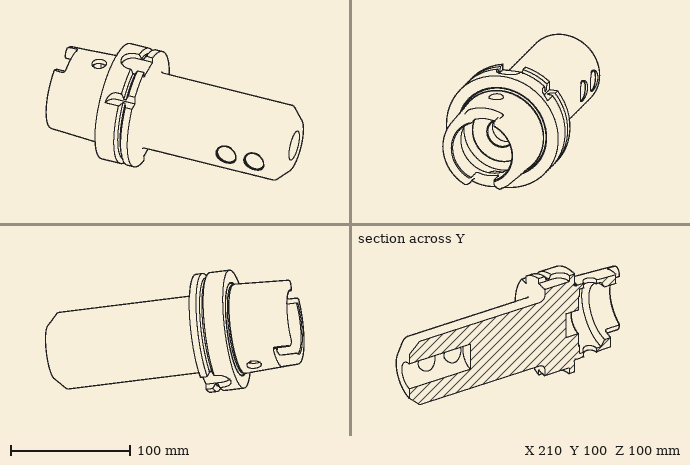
import cadquery as cq
import math

TOTAL_LENGTH = 210.0
FLANGE_START = 50.0
FLANGE_END = 79.0

TAPER_GAUGE_RADIUS = 37.5
TAPER_GAUGE_X = 40.0
TAPER_SLOPE = 1 / 20
TAPER_RIM_FILLET = 2.0

RELIEF_START = 47.5
RELIEF_RADIUS = 37.4
RELIEF_FLOOR_START = 48.0
RELIEF_FLOOR_END = 49.1
RELIEF_BOTTOM_X = 50.6
RELIEF_BOTTOM_RADIUS = 38.8
FACE_RELIEF_RADIUS = 39.7

MOUTH_RADIUS = 26.5
MOUTH_CHAMFER = 0.9
CLAMP_EDGE_X = 21.0
CAVITY_RADIUS = 32.5
CLAMP_SHOULDER_ANGLE = 60.0
CAVITY_FLOOR_X = 45.0
RECESS_RADIUS = 25.0
RECESS_DEPTH = 1.0
COOLANT_HOLE_RADIUS = 12.5
COOLANT_HOLE_DEPTH = 12.0
COOLANT_HOLE_CHAMFER = 0.7

DRIVE_SLOT_WIDTH = 20.0
UPPER_DRIVE_SLOT_DEPTH = 10.0
LOWER_DRIVE_SLOT_DEPTH = 15.0
DRIVE_SLOT_FLARE_RADIUS = 6.0
DRIVE_SLOT_FLARE_START = 26.0
DRIVE_SLOT_FLOOR_FILLET = 2.0

ACCESS_HOLE_X = 35.0
ACCESS_HOLE_DIAMETER = 12.0

FLANGE_RADIUS = 50.0
GROOVE_RADIUS = 46.0
GROOVE_CENTRE_X = 70.0
GROOVE_TOP_WIDTH = 6.2
GROOVE_FLOOR_WIDTH = 2.0
GROOVE_LIP_LENGTH = 0.8
GROOVE_LIP_DEPTH = 1.0

KEYWAY_WIDTH = 20.0
KEYWAY_ROUND_X = 65.3
KEYWAY_FLOOR_HEIGHT = 44.0
NOTCH_OFFSET = 31.5
NOTCH_START_X = 55.0
NOTCH_CORNER_RADIUS = 8.0

BODY_RADIUS = 32.5
NECK_FILLET = 5.0
NOSE_LENGTH = 10.0
NOSE_RADIUS = 22.5
NOSE_EDGE_FILLET = 1.5
BORE_DIAMETER = 25.0
BORE_DEPTH = 59.0

SCREW_HOLE_DIAMETER = 16.4
SCREW_HOLE_MOUTH_DIAMETER = 18.0
SCREW_HOLE_MOUTH_DEPTH = 2.0
SCREW_HOLE_XS = (161.0, 186.0)

HALF_TURN_ABOUT_X = ((0, 0, 0), (1, 0, 0), 180)


def taper_radius(x):
    return TAPER_GAUGE_RADIUS + (x - TAPER_GAUGE_X) * TAPER_SLOPE


def revolve_about_x(profile):
    return profile.close().revolve(360, (0, 0, 0), (1, 0, 0))


def make_outer_body():
    groove_left = GROOVE_CENTRE_X - GROOVE_TOP_WIDTH / 2
    groove_right = GROOVE_CENTRE_X + GROOVE_TOP_WIDTH / 2
    floor_left = GROOVE_CENTRE_X - GROOVE_FLOOR_WIDTH / 2
    floor_right = GROOVE_CENTRE_X + GROOVE_FLOOR_WIDTH / 2
    profile = (
        cq.Workplane("XY")
        .lineTo(0, taper_radius(0))
        .lineTo(RELIEF_START, taper_radius(RELIEF_START))
        .lineTo(RELIEF_FLOOR_START, RELIEF_RADIUS)
        .lineTo(RELIEF_FLOOR_END, RELIEF_RADIUS)
        .lineTo(RELIEF_BOTTOM_X, RELIEF_BOTTOM_RADIUS)
        .lineTo(FLANGE_START, FACE_RELIEF_RADIUS)
        .lineTo(FLANGE_START, FLANGE_RADIUS)
        .lineTo(groove_left, FLANGE_RADIUS)
        .lineTo(groove_left + GROOVE_LIP_LENGTH, FLANGE_RADIUS - GROOVE_LIP_DEPTH)
        .lineTo(floor_left, GROOVE_RADIUS)
        .lineTo(floor_right, GROOVE_RADIUS)
        .lineTo(groove_right, FLANGE_RADIUS)
        .lineTo(FLANGE_END, FLANGE_RADIUS)
        .lineTo(FLANGE_END, BODY_RADIUS + NECK_FILLET)
        .radiusArc((FLANGE_END + NECK_FILLET, BODY_RADIUS), -NECK_FILLET)
        .lineTo(TOTAL_LENGTH - NOSE_LENGTH, BODY_RADIUS)
        .lineTo(TOTAL_LENGTH, NOSE_RADIUS)
        .lineTo(TOTAL_LENGTH, 0)
    )
    body = revolve_about_x(profile)
    nose_zone = cq.selectors.BoxSelector(
        (TOTAL_LENGTH - NOSE_LENGTH - 1, -FLANGE_RADIUS, -FLANGE_RADIUS),
        (TOTAL_LENGTH + 1, FLANGE_RADIUS, FLANGE_RADIUS),
    )
    return body.edges("%CIRCLE").edges(nose_zone).fillet(NOSE_EDGE_FILLET)


def make_cavity():
    shoulder_slope = math.tan(math.radians(CLAMP_SHOULDER_ANGLE))
    clamp_cone_length = (CAVITY_RADIUS - MOUTH_RADIUS) / shoulder_slope
    recess_floor = CAVITY_FLOOR_X + RECESS_DEPTH
    coolant_core_radius = COOLANT_HOLE_RADIUS - COOLANT_HOLE_CHAMFER
    profile = (
        cq.Workplane("XY")
        .lineTo(0, MOUTH_RADIUS + MOUTH_CHAMFER)
        .lineTo(MOUTH_CHAMFER, MOUTH_RADIUS)
        .lineTo(CLAMP_EDGE_X, MOUTH_RADIUS)
        .lineTo(CLAMP_EDGE_X + clamp_cone_length, CAVITY_RADIUS)
        .lineTo(CAVITY_FLOOR_X, CAVITY_RADIUS)
        .lineTo(CAVITY_FLOOR_X, RECESS_RADIUS)
        .lineTo(recess_floor, RECESS_RADIUS)
        .lineTo(recess_floor, COOLANT_HOLE_RADIUS)
        .lineTo(recess_floor + COOLANT_HOLE_CHAMFER, coolant_core_radius)
        .lineTo(recess_floor + COOLANT_HOLE_DEPTH, coolant_core_radius)
        .lineTo(recess_floor + COOLANT_HOLE_DEPTH, 0)
    )
    return revolve_about_x(profile)


def make_drive_slot(depth):
    half_width = DRIVE_SLOT_WIDTH / 2
    flare_half_width = half_width + DRIVE_SLOT_FLARE_RADIUS
    flare_top = DRIVE_SLOT_FLARE_START + DRIVE_SLOT_FLARE_RADIUS
    floor_fillet_zone = cq.selectors.BoxSelector(
        (0, -flare_half_width, DRIVE_SLOT_FLARE_START / 4),
        (2 * depth, flare_half_width, flare_top),
    )
    return (
        cq.Workplane("YZ")
        .moveTo(-half_width, 0)
        .lineTo(half_width, 0)
        .lineTo(half_width, DRIVE_SLOT_FLARE_START)
        .radiusArc((flare_half_width, flare_top), DRIVE_SLOT_FLARE_RADIUS)
        .lineTo(flare_half_width, FLANGE_RADIUS)
        .lineTo(-flare_half_width, FLANGE_RADIUS)
        .lineTo(-flare_half_width, flare_top)
        .radiusArc((-half_width, DRIVE_SLOT_FLARE_START), DRIVE_SLOT_FLARE_RADIUS)
        .close()
        .extrude(depth)
        .faces(">X")
        .edges()
        .edges(floor_fillet_zone)
        .fillet(DRIVE_SLOT_FLOOR_FILLET)
    )


def make_slotted_half(slot_depth):
    """Upper half of the holder, with one rim fillet following both the taper and the slot walls."""
    lower_half_space = (
        cq.Workplane("XY")
        .box(TOTAL_LENGTH, 2 * FLANGE_RADIUS, FLANGE_RADIUS, centered=(False, True, False))
        .translate((0, 0, -FLANGE_RADIUS))
    )
    slotted = make_outer_body().cut(make_drive_slot(slot_depth))
    return slotted.faces("<X").edges().fillet(TAPER_RIM_FILLET).cut(lower_half_space)


def make_keyway():
    length = FLANGE_END - KEYWAY_ROUND_X
    return (
        cq.Workplane("XY", origin=(KEYWAY_ROUND_X, 0, KEYWAY_FLOOR_HEIGHT))
        .moveTo(0, -KEYWAY_WIDTH / 2)
        .lineTo(length, -KEYWAY_WIDTH / 2)
        .lineTo(length, KEYWAY_WIDTH / 2)
        .lineTo(0, KEYWAY_WIDTH / 2)
        .threePointArc((-KEYWAY_WIDTH / 2, 0), (0, -KEYWAY_WIDTH / 2))
        .close()
        .extrude(FLANGE_RADIUS - KEYWAY_FLOOR_HEIGHT)
    )


def make_corner_notch():
    length = FLANGE_END - NOTCH_START_X
    return (
        cq.Workplane("XY", origin=(NOTCH_START_X, -NOTCH_OFFSET - FLANGE_RADIUS, NOTCH_OFFSET))
        .box(length, FLANGE_RADIUS, FLANGE_RADIUS, centered=False)
        .edges("|Z and <X and >Y")
        .fillet(NOTCH_CORNER_RADIUS)
    )


def make_screw_hole(x):
    outside = cq.Workplane("XZ", origin=(x, 0, 0))
    hole = outside.circle(SCREW_HOLE_DIAMETER / 2).extrude(BODY_RADIUS)
    mouth = (
        outside.workplane(offset=BODY_RADIUS - SCREW_HOLE_MOUTH_DEPTH)
        .circle(SCREW_HOLE_MOUTH_DIAMETER / 2)
        .extrude(SCREW_HOLE_MOUTH_DEPTH)
    )
    return hole.union(mouth)


def make_access_hole():
    return (
        cq.Workplane("XY")
        .center(ACCESS_HOLE_X, 0)
        .circle(ACCESS_HOLE_DIAMETER / 2)
        .extrude(FLANGE_RADIUS, both=True)
    )


def make_bore():
    return (
        cq.Workplane("YZ", origin=(TOTAL_LENGTH, 0, 0))
        .circle(BORE_DIAMETER / 2)
        .extrude(-BORE_DEPTH)
    )


keyway = make_keyway()
upper_half = make_slotted_half(UPPER_DRIVE_SLOT_DEPTH)
lower_half = make_slotted_half(LOWER_DRIVE_SLOT_DEPTH).rotate(*HALF_TURN_ABOUT_X)

result = upper_half.union(lower_half).clean()
result = result.cut(make_cavity()).cut(make_access_hole())
result = result.cut(keyway).cut(keyway.rotate(*HALF_TURN_ABOUT_X))
result = result.cut(make_corner_notch())
result = result.cut(make_bore())
for hole_x in SCREW_HOLE_XS:
    result = result.cut(make_screw_hole(hole_x))